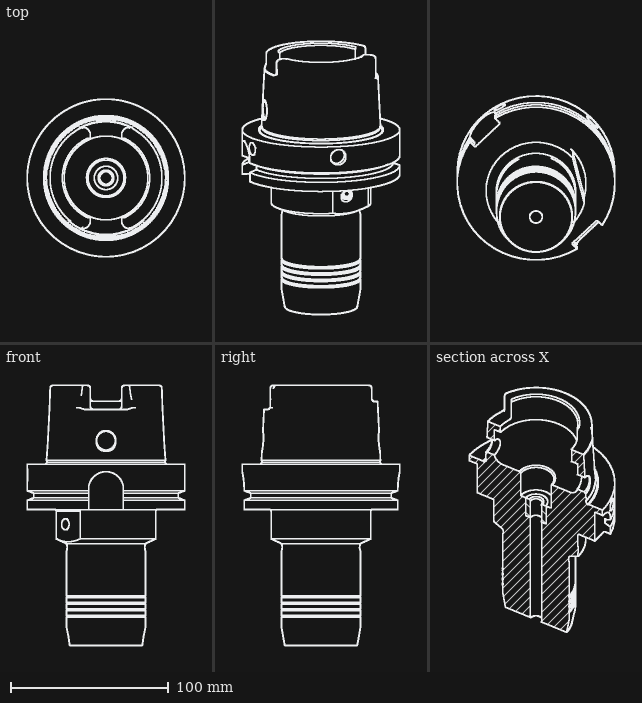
import cadquery as cq
import math


TOTAL_LENGTH = 164.9
TAPER_LENGTH = 50.0
BOTTOM_Z = TAPER_LENGTH - TOTAL_LENGTH

TAPER_BASE_RADIUS = 37.8
TAPER_BASE_Z = 2.5
TAPER_SLOPE = 1 / 20
TAPER_TOP_RADIUS = TAPER_BASE_RADIUS - (TAPER_LENGTH - TAPER_BASE_Z) * TAPER_SLOPE
NECK_RADIUS = 37.3
NECK_Z = 1.3

RECESS_INNER_RADIUS = 38.8
RECESS_OUTER_RADIUS = 39.0
RECESS_RIM_RADIUS = 39.5
RECESS_DEPTH = 0.5

FLANGE_RADIUS = 50.0
FLANGE_THICKNESS = 28.9
GROOVE_FLOOR_RADIUS = 45.8
GROOVE_TOP_Z = -16.8
GROOVE_FLOOR_TOP_Z = -18.5
GROOVE_FLOOR_BOTTOM_Z = -21.3
GROOVE_BOTTOM_Z = -23.0

HUB_RADIUS = 31.7
HUB_ROOT_FILLET = 0.7
HUB_BOTTOM_Z = -47.3
HUB_CONE_HEIGHT = 3.0
HUB_CONE_END_RADIUS = 25.2

BODY_RADIUS = 25.0
UNDERCUT_RADIUS = 24.5
UNDERCUT_ARC_RADIUS = 5.6
UNDERCUT_Z = -53.0
BODY_TOP_Z = -55.0
NOSE_START_Z = -103.4
NOSE_RADIUS = 23.1
NOSE_CHAMFER = 0.3

RING_GROOVE_COUNT = 4
RING_GROOVE_PITCH = 4.1
RING_GROOVE_FIRST_Z = -84.0
RING_GROOVE_WIDTH = 1.5
RING_GROOVE_DEPTH = 0.3

SLOT_HALF_WIDTH = 9.9
SLOT_CORNER_RADIUS = 5.0
SLOT_SHOULDER_Y = 32.2
SLOT_REACH = 66.0
SLOT_FLOOR_FILLET = 1.6
SLOT_FLOOR_CHAMFER = 0.3
FRONT_SLOT_DEPTH = 15.2
REAR_SLOT_DEPTH = 10.0
TAPER_END_FILLET = 2.0

CAVITY_RADIUS = 26.5
CAVITY_CHAMFER = 1.2
CAVITY_LAND_DEPTH = 20.3
CAVITY_RELIEF_RADIUS = 31.0
CAVITY_RELIEF_END_DEPTH = 40.0
CAVITY_FLOOR_FILLET = 6.1
CAVITY_DEPTH = CAVITY_RELIEF_END_DEPTH + CAVITY_FLOOR_FILLET

COOLANT_BORE_RADIUS = 11.4
COOLANT_BORE_CHAMFER = 1.0
COOLANT_BORE_DEPTH = 19.8

STOP_SCREW_RADIUS = 7.5
STOP_SCREW_LENGTH = 14.8
THROUGH_HOLE_RADIUS = 4.0
THROUGH_HOLE_CHAMFER = 1.0

CROSS_HOLE_RADIUS = 6.0
CROSS_HOLE_CHAMFER = 0.8
CROSS_HOLE_Z = 14.8

NOTCH_HALF_WIDTH = 11.0
NOTCH_TOP_Z = -4.8
NOTCH_FLOOR_Y = 44.0
NOTCH_FLOOR_FILLET = 0.5

RIM_HOLE_Z = -7.0
CHIP_HOLE_RADIUS = 5.0
CHIP_HOLE_DEPTH = 5.0
CHIP_HOLE_ANGLE = 180.0
BALANCE_HOLE_RADIUS = 4.0
BALANCE_HOLE_DEPTH = 5.0
BALANCE_HOLE_ANGLE = 106.5

FLAT_DISTANCE = 27.7
FLAT_TOP_Z = -29.8
FLAT_ANGLE = 210.0
SCREW_ANGLE = 167.0
SCREW_OFFSET = -3.5
SCREW_Z = -38.1
SCREW_RADIUS = 3.5
SCREW_RECESS = 5.8
SCREW_LENGTH = 9.9
SCREW_CHAMFER = 0.5
SCREW_SOCKET_WIDTH = 4.0
SCREW_SOCKET_DEPTH = 3.0


PROFILE_PLANE = cq.Plane(origin=(0, 0, 0), xDir=(0, -1, 0), normal=(-1, 0, 0))


def cylinder_along(point, direction, radius, length):
    """Cylinder that starts at a point and runs along a direction."""
    return cq.Workplane(cq.Solid.makeCylinder(radius, length, cq.Vector(*point), cq.Vector(*direction)))


def outward(angle):
    """Horizontal unit vector at an angle in degrees from +X."""
    return cq.Vector(math.cos(math.radians(angle)), math.sin(math.radians(angle)), 0)


def housing_blank():
    """Solid of revolution with the outer contour of the chuck."""
    flange_bottom = -FLANGE_THICKNESS
    hub_cone_end = HUB_BOTTOM_Z - HUB_CONE_HEIGHT
    return (
        cq.Workplane(PROFILE_PLANE)
        .moveTo(0, TAPER_LENGTH)
        .lineTo(TAPER_TOP_RADIUS, TAPER_LENGTH)
        .lineTo(TAPER_BASE_RADIUS, TAPER_BASE_Z)
        .lineTo(NECK_RADIUS, NECK_Z)
        .lineTo(RECESS_INNER_RADIUS, -RECESS_DEPTH)
        .lineTo(RECESS_OUTER_RADIUS, -RECESS_DEPTH)
        .lineTo(RECESS_RIM_RADIUS, 0)
        .lineTo(FLANGE_RADIUS, 0)
        .lineTo(FLANGE_RADIUS, GROOVE_TOP_Z)
        .lineTo(GROOVE_FLOOR_RADIUS, GROOVE_FLOOR_TOP_Z)
        .lineTo(GROOVE_FLOOR_RADIUS, GROOVE_FLOOR_BOTTOM_Z)
        .lineTo(FLANGE_RADIUS, GROOVE_BOTTOM_Z)
        .lineTo(FLANGE_RADIUS, flange_bottom)
        .lineTo(HUB_RADIUS + HUB_ROOT_FILLET, flange_bottom)
        .radiusArc((HUB_RADIUS, flange_bottom - HUB_ROOT_FILLET), -HUB_ROOT_FILLET)
        .lineTo(HUB_RADIUS, HUB_BOTTOM_Z)
        .lineTo(HUB_CONE_END_RADIUS, hub_cone_end)
        .radiusArc((UNDERCUT_RADIUS, UNDERCUT_Z), -UNDERCUT_ARC_RADIUS)
        .lineTo(BODY_RADIUS, BODY_TOP_Z)
        .lineTo(BODY_RADIUS, NOSE_START_Z)
        .lineTo(NOSE_RADIUS, BOTTOM_Z + NOSE_CHAMFER)
        .lineTo(NOSE_RADIUS - NOSE_CHAMFER, BOTTOM_Z)
        .lineTo(0, BOTTOM_Z)
        .close()
        .revolve(360, (0, 0, 0), (0, 1, 0))
    )


def drive_slot(side, depth):
    """Cutter for the drive slot on the +Y (side = 1) or -Y (side = -1) end."""
    corner_x = SLOT_HALF_WIDTH + SLOT_CORNER_RADIUS
    corner_y = SLOT_SHOULDER_Y - SLOT_CORNER_RADIUS
    corner_distance = math.hypot(corner_x, corner_y)
    radial_x = corner_x / corner_distance
    radial_y = corner_y / corner_distance
    end_x = corner_x + SLOT_CORNER_RADIUS * radial_x
    end_y = corner_y + SLOT_CORNER_RADIUS * radial_y
    exit_x = end_x + SLOT_REACH * radial_y
    exit_y = end_y - SLOT_REACH * radial_x
    cutter = (
        cq.Workplane("XY", origin=(0, 0, TAPER_LENGTH - depth))
        .moveTo(-SLOT_HALF_WIDTH, 0)
        .lineTo(SLOT_HALF_WIDTH, 0)
        .lineTo(SLOT_HALF_WIDTH, side * corner_y)
        .radiusArc((end_x, side * end_y), side * SLOT_CORNER_RADIUS)
        .lineTo(exit_x, side * exit_y)
        .lineTo(exit_x, side * SLOT_REACH)
        .lineTo(-exit_x, side * SLOT_REACH)
        .lineTo(-exit_x, side * exit_y)
        .lineTo(-end_x, side * end_y)
        .radiusArc((-SLOT_HALF_WIDTH, side * corner_y), side * SLOT_CORNER_RADIUS)
        .close()
        .extrude(depth + 1.6)
    )
    return cutter.faces("<Z").edges().fillet(SLOT_FLOOR_FILLET)


def slot_floor_bevel(slot, depth):
    """Cutter that breaks the outer edge of a drive slot floor."""
    edge_z = TAPER_LENGTH - depth - SLOT_FLOOR_CHAMFER
    edge_radius = TAPER_BASE_RADIUS - (edge_z - TAPER_BASE_Z) * TAPER_SLOPE
    floor = slot.faces("<Z").val()
    layer = cq.Workplane(cq.Solid.extrudeLinear(floor, cq.Vector(0, 0, -SLOT_FLOOR_CHAMFER)))
    core = cq.Solid.makeCone(
        edge_radius, edge_radius - SLOT_FLOOR_CHAMFER, SLOT_FLOOR_CHAMFER, cq.Vector(0, 0, edge_z)
    )
    return layer.cut(cq.Workplane(core))


def slotted_envelope():
    """Square block around the whole chuck with both drive slots and their rounded top edges."""
    front_slot = drive_slot(-1, FRONT_SLOT_DEPTH)
    rear_slot = drive_slot(1, REAR_SLOT_DEPTH)
    width = 2 * FLANGE_RADIUS
    block = cq.Workplane("XY", origin=(0, 0, BOTTOM_Z)).rect(width, width).extrude(TOTAL_LENGTH)
    block = block.cut(front_slot).cut(rear_slot)
    block = block.faces(">Z").edges().fillet(TAPER_END_FILLET)
    block = block.cut(slot_floor_bevel(front_slot, FRONT_SLOT_DEPTH))
    return block.cut(slot_floor_bevel(rear_slot, REAR_SLOT_DEPTH))


def bore_cutter():
    """Cavity, coolant bore, stop screw seat and through hole as one revolved cutter."""
    floor_z = TAPER_LENGTH - CAVITY_DEPTH
    seat_z = floor_z - COOLANT_BORE_DEPTH
    land_z = TAPER_LENGTH - CAVITY_LAND_DEPTH
    return (
        cq.Workplane(PROFILE_PLANE)
        .moveTo(0, TAPER_LENGTH)
        .lineTo(CAVITY_RADIUS + CAVITY_CHAMFER, TAPER_LENGTH)
        .lineTo(CAVITY_RADIUS, TAPER_LENGTH - CAVITY_CHAMFER)
        .lineTo(CAVITY_RADIUS, land_z)
        .lineTo(CAVITY_RELIEF_RADIUS, land_z)
        .lineTo(CAVITY_RELIEF_RADIUS, TAPER_LENGTH - CAVITY_RELIEF_END_DEPTH)
        .radiusArc((CAVITY_RELIEF_RADIUS - CAVITY_FLOOR_FILLET, floor_z), CAVITY_FLOOR_FILLET)
        .lineTo(COOLANT_BORE_RADIUS + COOLANT_BORE_CHAMFER, floor_z)
        .lineTo(COOLANT_BORE_RADIUS, floor_z - COOLANT_BORE_CHAMFER)
        .lineTo(COOLANT_BORE_RADIUS, seat_z)
        .lineTo(STOP_SCREW_RADIUS, seat_z)
        .lineTo(STOP_SCREW_RADIUS, seat_z - STOP_SCREW_LENGTH)
        .lineTo(THROUGH_HOLE_RADIUS, seat_z - STOP_SCREW_LENGTH)
        .lineTo(THROUGH_HOLE_RADIUS, BOTTOM_Z)
        .lineTo(0, BOTTOM_Z)
        .close()
        .revolve(360, (0, 0, 0), (0, 1, 0))
    )


def cross_hole():
    """Cutter for the hole along Y through both taper walls, with its two chamfers."""
    wall_y = TAPER_BASE_RADIUS - (CROSS_HOLE_Z - TAPER_BASE_Z) * TAPER_SLOPE
    rim_radius = CROSS_HOLE_RADIUS + CROSS_HOLE_CHAMFER
    half = (
        cq.Workplane("XY", origin=(0, 0, CROSS_HOLE_Z))
        .moveTo(0, 0)
        .lineTo(CROSS_HOLE_RADIUS, 0)
        .lineTo(CROSS_HOLE_RADIUS, wall_y - CROSS_HOLE_CHAMFER)
        .lineTo(rim_radius, wall_y)
        .lineTo(rim_radius, wall_y + 1.6)
        .lineTo(0, wall_y + 1.6)
        .close()
        .revolve(360, (0, 0, 0), (0, 1, 0))
    )
    return half.union(half.mirror("XZ"))


def ring_groove(z):
    """Cutter for a V-shaped ring groove whose middle lies at a height z."""
    half = RING_GROOVE_WIDTH / 2
    return (
        cq.Workplane(PROFILE_PLANE)
        .moveTo(BODY_RADIUS, z + half)
        .lineTo(BODY_RADIUS - RING_GROOVE_DEPTH, z)
        .lineTo(BODY_RADIUS, z - half)
        .lineTo(BODY_RADIUS + 1.6, z - half)
        .lineTo(BODY_RADIUS + 1.6, z + half)
        .close()
        .revolve(360, (0, 0, 0), (0, 1, 0))
    )


def flange_notch(side):
    """Cutter for the round-topped notch in the flange rim on the +Y or -Y side."""
    arc_z = NOTCH_TOP_Z - NOTCH_HALF_WIDTH
    cutter = (
        cq.Workplane("XZ", origin=(0, side * NOTCH_FLOOR_Y, 0))
        .moveTo(-NOTCH_HALF_WIDTH, -FLANGE_THICKNESS - 1.6)
        .lineTo(-NOTCH_HALF_WIDTH, arc_z)
        .threePointArc((0, NOTCH_TOP_Z), (NOTCH_HALF_WIDTH, arc_z))
        .lineTo(NOTCH_HALF_WIDTH, -FLANGE_THICKNESS - 1.6)
        .close()
        .extrude(-side * FLANGE_RADIUS)
    )
    floor = "<Y" if side > 0 else ">Y"
    return cutter.faces(floor).edges("not <Z").fillet(NOTCH_FLOOR_FILLET)


def rim_hole(angle, radius, depth):
    """Cutter for a blind radial hole in the flange rim."""
    floor = outward(angle) * (FLANGE_RADIUS - depth) + cq.Vector(0, 0, RIM_HOLE_Z)
    return cylinder_along(floor.toTuple(), outward(angle).toTuple(), radius, 2 * depth)


def hub_flat():
    """Cutter for the flat on the hub, from just below the flange down."""
    height = FLAT_TOP_Z - BODY_TOP_Z
    return (
        cq.Workplane("XY")
        .box(HUB_RADIUS, 2 * HUB_RADIUS, height, centered=(False, True, False))
        .translate((FLAT_DISTANCE, 0, BODY_TOP_Z))
        .rotate((0, 0, 0), (0, 0, 1), FLAT_ANGLE)
    )


screw_mouth = (
    outward(FLAT_ANGLE) * FLAT_DISTANCE
    + outward(FLAT_ANGLE + 90) * SCREW_OFFSET
    + cq.Vector(0, 0, SCREW_Z)
)
screw_axis = outward(SCREW_ANGLE)
screw_end = screw_mouth - screw_axis * (SCREW_RECESS + SCREW_LENGTH)


def pressure_screw_hole():
    """Cutter for the slanted hole that holds the pressure screw."""
    length = SCREW_RECESS + SCREW_LENGTH + 2 * SCREW_RADIUS + 1.6
    return cylinder_along(screw_end.toTuple(), screw_axis.toTuple(), SCREW_RADIUS, length)


def make_housing():
    """Chuck body with all its bores, slots, grooves and notches."""
    body = housing_blank().faces(">Z").edges().fillet(TAPER_END_FILLET)
    body = body.intersect(slotted_envelope())
    body = body.cut(bore_cutter())
    body = body.cut(cross_hole())
    for index in range(RING_GROOVE_COUNT):
        body = body.cut(ring_groove(RING_GROOVE_FIRST_Z - index * RING_GROOVE_PITCH))
    for side in (-1, 1):
        body = body.cut(flange_notch(side))
    body = body.cut(rim_hole(CHIP_HOLE_ANGLE, CHIP_HOLE_RADIUS, CHIP_HOLE_DEPTH))
    body = body.cut(rim_hole(BALANCE_HOLE_ANGLE, BALANCE_HOLE_RADIUS, BALANCE_HOLE_DEPTH))
    body = body.cut(hub_flat())
    return body.cut(pressure_screw_hole())


def make_stop_screw():
    """Drilled screw on the tool axis that fills its seat below the coolant bore."""
    top_z = TAPER_LENGTH - CAVITY_DEPTH - COOLANT_BORE_DEPTH
    screw = (
        cq.Workplane("XY", origin=(0, 0, top_z))
        .circle(STOP_SCREW_RADIUS)
        .circle(THROUGH_HOLE_RADIUS)
        .extrude(-STOP_SCREW_LENGTH)
    )
    top_edges = screw.faces(">Z").edges("%CIRCLE")
    return top_edges.edges(cq.selectors.RadiusNthSelector(0)).chamfer(THROUGH_HOLE_CHAMFER)


def make_pressure_screw():
    """Set screw with a hexagon socket, seated in the slanted hub hole."""
    plane = cq.Plane(origin=screw_end.toTuple(), xDir=(0, 0, 1), normal=screw_axis.toTuple())
    socket_diameter = SCREW_SOCKET_WIDTH / math.cos(math.pi / 6)
    return (
        cq.Workplane(plane)
        .circle(SCREW_RADIUS)
        .extrude(SCREW_LENGTH)
        .faces(cq.selectors.DirectionMinMaxSelector(screw_axis))
        .chamfer(SCREW_CHAMFER)
        .faces(cq.selectors.DirectionMinMaxSelector(screw_axis))
        .workplane()
        .polygon(6, socket_diameter)
        .cutBlind(-SCREW_SOCKET_DEPTH)
    )


housing = make_housing()
stop_screw = make_stop_screw()
pressure_screw = make_pressure_screw()

result = cq.Compound.makeCompound([housing.val(), stop_screw.val(), pressure_screw.val()])